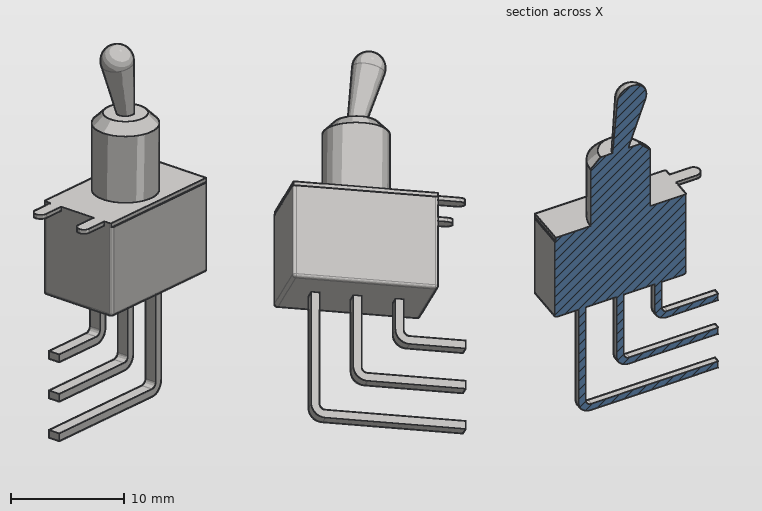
import cadquery as cq
import math

body_width = 7.9
body_length = 13.2
housing_height = 9.05
body_edge_radius = 0.3

plate_thickness = 0.4
plate_inset = 0.1
plate_width = body_width - 2 * plate_inset
plate_length = body_length - plate_inset
plate_y_center = -plate_inset / 2
tab_width = 1.25
tab_spacing = 5.0
tab_reach = 9.3

bushing_radius = 3.0
bushing_height = 7.4
bushing_chamfer = 1.0

lever_angle = 12.0
ball_radius = 1.5
lever_root_radius = 0.8
lever_rise = 6.89

terminal_pitch = 3.81
terminal_width = 1.2
terminal_thickness = 0.76
bend_inner_radius = 0.5
terminal_reach = 9.8

embed = 1.0

plate_bottom = -plate_thickness
housing_bottom = -housing_height


def rounded_block(bottom, height):
    """Block with the housing outline, its vertical edges rounded."""
    block = cq.Workplane("XY").workplane(offset=bottom).rect(body_width, body_length).extrude(height)
    return block.edges("|Z").fillet(body_edge_radius)


def make_body():
    body = rounded_block(housing_bottom, housing_height - plate_thickness)
    return body.faces("<Z").edges().fillet(body_edge_radius)


def make_plate():
    """Plate set in from the sides and back, flush with the front face and its rounded corners."""
    plate = (
        cq.Workplane("XY", origin=(0, plate_y_center, plate_bottom))
        .rect(plate_width, plate_length)
        .extrude(plate_thickness)
    )
    plate = plate.intersect(rounded_block(plate_bottom, plate_thickness))
    tabs = (
        cq.Workplane("XY")
        .workplane(offset=plate_bottom)
        .pushPoints([(side * tab_spacing / 2, -tab_reach / 2) for side in (-1, 1)])
        .slot2D(tab_reach, tab_width, 90)
        .extrude(plate_thickness)
    )
    return plate.union(tabs)


def make_bushing():
    bushing = cq.Workplane("XY").workplane(offset=plate_bottom).circle(bushing_radius)
    bushing = bushing.extrude(bushing_height + plate_thickness)
    return bushing.faces(">Z").chamfer(bushing_chamfer)


def make_lever():
    """Tapered stem running tangent into a ball, tilted about the stem root."""
    tilt = math.radians(lever_angle)
    ball_center = (lever_rise - ball_radius) / math.cos(tilt)
    root_to_center = math.hypot(ball_center, lever_root_radius)
    half_angle = math.asin(ball_radius / root_to_center) - math.atan2(lever_root_radius, ball_center)
    tangent_radius = ball_radius * math.cos(half_angle)
    tangent_height = ball_center - ball_radius * math.sin(half_angle)
    foot_radius = lever_root_radius - embed * math.tan(half_angle)
    profile = (
        cq.Workplane("XZ")
        .moveTo(0, -embed)
        .lineTo(foot_radius, -embed)
        .lineTo(tangent_radius, tangent_height)
        .threePointArc((ball_radius, ball_center), (0, ball_center + ball_radius))
        .close()
    )
    lever = profile.revolve(360, (0, 0, 0), (0, 1, 0))
    return lever.rotate((0, 0, 0), (1, 0, 0), lever_angle).translate((0, 0, bushing_height))


def make_terminal(y_center, drop):
    """Strip running down at y_center, then toward -Y with its centreline drop below the housing."""
    half = terminal_thickness / 2
    bend_radius = bend_inner_radius + half
    z_center = housing_bottom - drop
    path = (
        cq.Workplane("YZ")
        .moveTo(y_center, housing_bottom + embed)
        .lineTo(y_center, z_center + bend_radius)
        .radiusArc((y_center - bend_radius, z_center), bend_radius)
        .lineTo(-terminal_reach, z_center)
    )
    section = cq.Workplane("XY", origin=(0, y_center, housing_bottom + embed))
    return section.rect(terminal_width, terminal_thickness).sweep(path)


result = make_body().union(make_plate()).union(make_bushing()).union(make_lever())
for order, row in enumerate((-1, 0, 1), start=1):
    result = result.union(make_terminal(row * terminal_pitch, order * terminal_pitch))